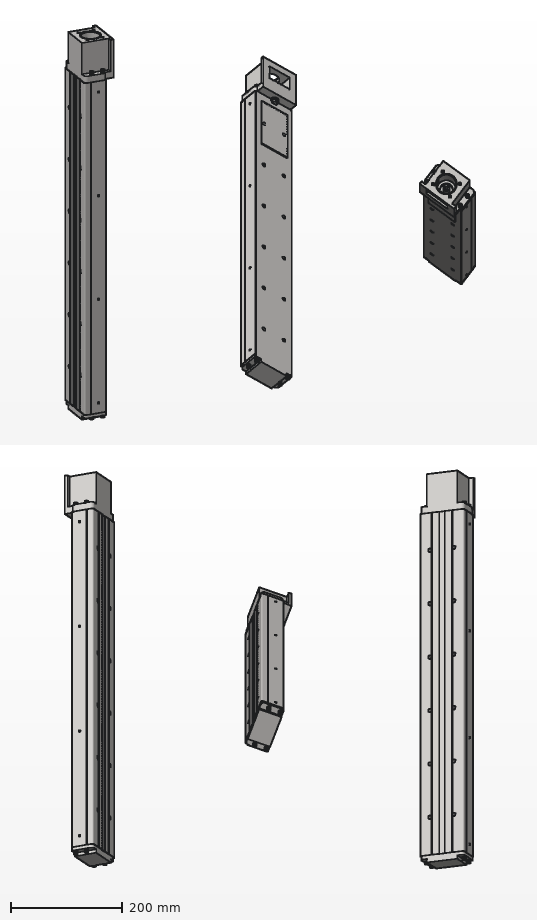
import cadquery as cq

LENGTH = 727.5
WIDTH = 86.0
DEPTH = 60.0

CAP_STEP_Z = 6.5
PROFILE_BOTTOM_Z = 13.0
PROFILE_TOP_Z = 654.0
BLOCK_TOP_Z = 667.0

PROFILE_DEPTH = 44.0
FRONT_FILLET = 3.0
BACK_CHAMFER = 1.5
GROOVE_DEPTH = 1.5
GROOVE_WIDTH = 1.5
GROOVE_X = 20.0
RECESS_WIDTH = 11.0
SIDE_GROOVE_Y = 13.0
SIDE_GROOVE_SIZE = 1.0

SIDE_HOLE_PITCH = 200.0
MOUNT_HOLE_DIAMETER = 6.6
MOUNT_HOLE_X = 23.0
MOUNT_HOLE_FIRST_Z = 84.0
MOUNT_HOLE_PITCH = SIDE_HOLE_PITCH / 2
MOUNT_HOLE_COUNT = 6
SIDE_HOLE_DIAMETER = 3.3
SIDE_HOLE_DEPTH = 7
SIDE_HOLE_Y = 28.0
SIDE_HOLE_FIRST_Z = 33.0
SIDE_HOLE_COUNT = 4

END_WIDTH = 85.0
END_SETBACK = 1.0
END_FILLET = 6.5

BOX_WIDTH = 60.0
BACK_PLATE_WIDTH = 77.0
BACK_PLATE_FRONT_Y = 54.0

SCREW_HEAD_DIAMETER = 7.0
SCREW_SOCKET_DIAMETER = 3.3
SCREW_SOCKET_DEPTH = 3.0
SCREW_HEAD_HEIGHT = 5.0
SCREW_X = 36.5
SCREW_YS = (17.0, 38.5)

BORE_Y = 31.0
BORE_STEPS = ((38.0, 726.0), (34.0, 676.5), (23.0, BLOCK_TOP_Z))
SHAFT_DIAMETER = 12.0
SHAFT_TOP_Z = 691
SHAFT_BORE_DIAMETER = 4.95
MOTOR_HOLE_DIAMETER = 4.95
MOTOR_HOLE_DEPTH = 11.0
MOTOR_HOLE_X = 19.0
MOTOR_HOLE_DY = 14.5

WINDOW_WIDTH = 47.0
WINDOW_BOTTOM_Z = 684
WINDOW_TOP_Z = 712.0

BOSS_Y = 44.5
BOSS_STEPS = ((16.0, 650.5), (11.0, 646.0))

SLIDE_WIDTH = 60.0
SLIDE_THICKNESS = 2.0
SLIDE_BOTTOM_Z = 531
SLIDE_TOP_Z = 634.5


def block(width, front_y, back_y, bottom_z, top_z):
    """Box centred on X between the given Y and Z limits."""
    return cq.Workplane("XY").box(
        width, back_y - front_y, top_z - bottom_z, centered=(True, False, False)
    ).translate((0, front_y, bottom_z))


def rod(diameter, x, y, bottom_z, top_z):
    """Cylinder along Z."""
    return cq.Workplane("XY", origin=(x, y, bottom_z)).circle(diameter / 2).extrude(top_z - bottom_z)


def make_profile():
    """Profile with a groove on each side and two grooves and a centre recess on the front."""
    body = block(WIDTH, 0, PROFILE_DEPTH, PROFILE_BOTTOM_Z, PROFILE_TOP_Z)
    body = body.edges("|Z and <Y").fillet(FRONT_FILLET)
    body = body.edges("|Z and >Y").chamfer(BACK_CHAMFER)
    groove = block(GROOVE_WIDTH, 0, GROOVE_DEPTH, PROFILE_BOTTOM_Z, PROFILE_TOP_Z)
    for side in (-1, 1):
        body = body.cut(groove.translate((side * GROOVE_X, 0, 0)))
        side_groove = (
            cq.Workplane("XY", origin=(side * WIDTH / 2, SIDE_GROOVE_Y, PROFILE_BOTTOM_Z))
            .rect(2 * SIDE_GROOVE_SIZE, SIDE_GROOVE_SIZE)
            .extrude(PROFILE_TOP_Z - PROFILE_BOTTOM_Z)
        )
        body = body.cut(side_groove)
    return body.cut(block(RECESS_WIDTH, 0, GROOVE_DEPTH, PROFILE_BOTTOM_Z, PROFILE_TOP_Z))


def mount_holes():
    """Two rows of holes through the profile along Y."""
    points = [
        (side * MOUNT_HOLE_X, MOUNT_HOLE_FIRST_Z + i * MOUNT_HOLE_PITCH)
        for side in (-1, 1)
        for i in range(MOUNT_HOLE_COUNT)
    ]
    return cq.Workplane("XZ").pushPoints(points).circle(MOUNT_HOLE_DIAMETER / 2).extrude(-PROFILE_DEPTH)


def side_holes():
    """Row of blind holes in each side of the profile."""
    points = [(SIDE_HOLE_Y, SIDE_HOLE_FIRST_Z + i * SIDE_HOLE_PITCH) for i in range(SIDE_HOLE_COUNT)]
    left = (
        cq.Workplane("YZ", origin=(-WIDTH / 2, 0, 0))
        .pushPoints(points)
        .circle(SIDE_HOLE_DIAMETER / 2)
        .extrude(SIDE_HOLE_DEPTH)
    )
    return left.union(left.mirror("YZ"))


def make_end_plate(bottom_z, top_z):
    """Plain plate covering one end of the profile."""
    return block(END_WIDTH, END_SETBACK, PROFILE_DEPTH, bottom_z, top_z)


def make_motor_mount():
    """End block, motor box and back plate, with the stepped bore, shaft and lower boss."""
    mount = make_end_plate(PROFILE_TOP_Z, BLOCK_TOP_Z)
    mount = mount.edges("|Z").fillet(END_FILLET)
    mount = mount.union(block(BOX_WIDTH, END_SETBACK, DEPTH, PROFILE_TOP_Z, LENGTH))
    foot_front_y = PROFILE_DEPTH - END_FILLET
    mount = mount.union(block(BACK_PLATE_WIDTH, foot_front_y, DEPTH, PROFILE_TOP_Z, BLOCK_TOP_Z))
    mount = mount.union(block(BACK_PLATE_WIDTH, BACK_PLATE_FRONT_Y, DEPTH, PROFILE_TOP_Z, LENGTH))
    for diameter, floor_z in BORE_STEPS:
        mount = mount.cut(rod(diameter, 0, BORE_Y, floor_z, LENGTH))
    mount = mount.cut(block(WINDOW_WIDTH, BORE_Y, DEPTH, WINDOW_BOTTOM_Z, WINDOW_TOP_Z))
    for x in (-MOTOR_HOLE_X, MOTOR_HOLE_X):
        for y in (BORE_Y - MOTOR_HOLE_DY, BORE_Y + MOTOR_HOLE_DY):
            mount = mount.cut(rod(MOTOR_HOLE_DIAMETER, x, y, LENGTH - MOTOR_HOLE_DEPTH, LENGTH))
    mount = mount.union(rod(SHAFT_DIAMETER, 0, BORE_Y, BLOCK_TOP_Z, SHAFT_TOP_Z))
    mount = mount.cut(rod(SHAFT_BORE_DIAMETER, 0, BORE_Y, BLOCK_TOP_Z, SHAFT_TOP_Z))
    for diameter, bottom_z in BOSS_STEPS:
        mount = mount.union(rod(diameter, 0, BOSS_Y, bottom_z, PROFILE_TOP_Z))
    return mount


def make_end_cap():
    """Lower end plate with a narrower step below it."""
    cap = make_end_plate(CAP_STEP_Z, PROFILE_BOTTOM_Z)
    cap = cap.edges("|Z and <Y").fillet(END_FILLET)
    cap = cap.edges("|Z and >Y").chamfer(BACK_CHAMFER)
    return cap.union(block(BOX_WIDTH, END_SETBACK, PROFILE_DEPTH, 0, CAP_STEP_Z))


def make_screw_head():
    """Socket head standing on the XY plane."""
    head = rod(SCREW_HEAD_DIAMETER, 0, 0, 0, SCREW_HEAD_HEIGHT)
    return head.cut(
        rod(SCREW_SOCKET_DIAMETER, 0, 0, SCREW_HEAD_HEIGHT - SCREW_SOCKET_DEPTH, SCREW_HEAD_HEIGHT)
    )


def make_actuator():
    """Profile, motor mount, end cap and screw heads as one body."""
    body = make_profile().cut(mount_holes()).cut(side_holes())
    body = body.union(make_motor_mount()).union(make_end_cap())
    for x in (-SCREW_X, SCREW_X):
        for y in SCREW_YS:
            upper = make_screw_head().translate((x, y, BLOCK_TOP_Z))
            lower = make_screw_head().mirror("XY").translate((x, y, CAP_STEP_Z))
            body = body.union(upper).union(lower)
    return body


def make_slide():
    """Plate lying on the back of the profile."""
    return block(SLIDE_WIDTH, PROFILE_DEPTH, PROFILE_DEPTH + SLIDE_THICKNESS, SLIDE_BOTTOM_Z, SLIDE_TOP_Z)


actuator = make_actuator()
slide = make_slide()
result = cq.Compound.makeCompound([actuator.val(), slide.val()])